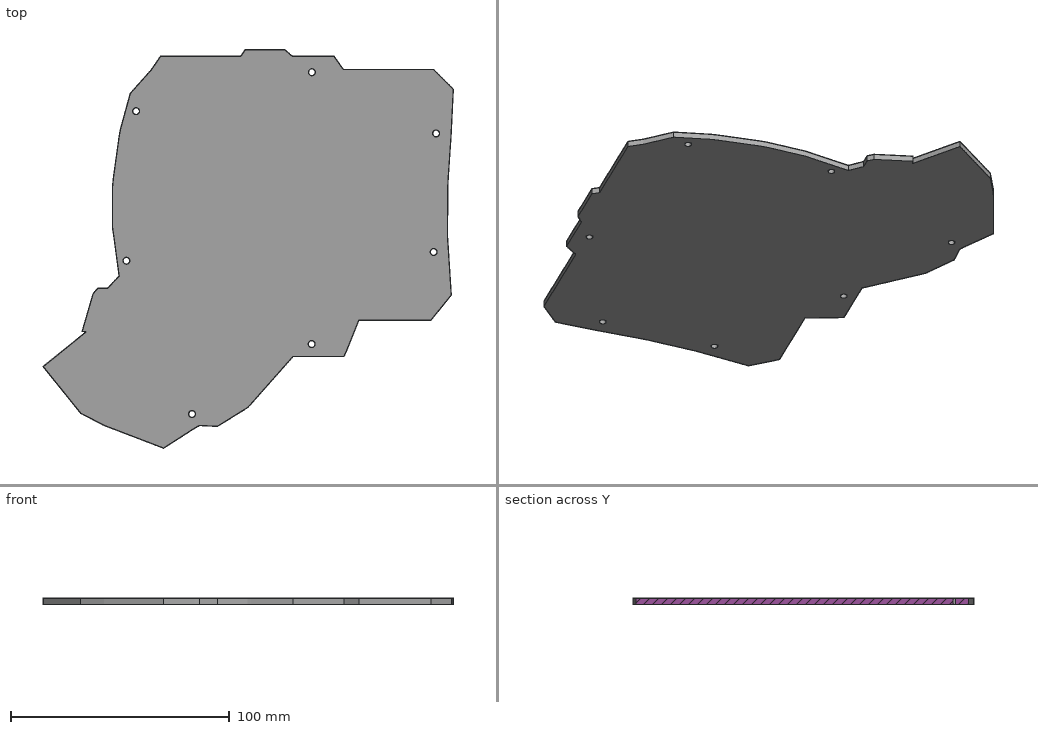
import cadquery as cq

LENGTH_X = 187.66
LENGTH_Y = 182.31
THICKNESS = 3.0
SCREW_HOLE_DIAMETER = 3.0

RIGHT_X = LENGTH_X / 2
LEFT_X = -RIGHT_X
BACK_Y = LENGTH_Y / 2
FRONT_Y = -BACK_Y

BACK_SHOULDER_Y = 88.2
BACK_CORNER_Y = 82.1
FRONT_CORNER_Y = -32.7
FRONT_STEP_Y = -49.2
LEFT_LEDGE_Y = -17.9

BACK_EDGE = [
    (-40.1, BACK_SHOULDER_Y),
    (-3.4, BACK_SHOULDER_Y),
    (-1.4, BACK_Y),
    (16.7, BACK_Y),
    (20.1, BACK_SHOULDER_Y),
    (39.2, BACK_SHOULDER_Y),
    (43.5, BACK_CORNER_Y),
    (84.7, BACK_CORNER_Y),
]

RIGHT_EDGE = [
    (RIGHT_X, 73.0),
    (92.8, 51.7),
    (91.5, 32.5),
    (91.3, 28.5),
    (91.2, 9.3),
    (91.2, 5.4),
    (92.9, -21.1),
]

FRONT_EDGE = [
    (83.5, FRONT_CORNER_Y),
    (50.6, FRONT_CORNER_Y),
    (45.0, -46.6),
    (43.8, FRONT_STEP_Y),
    (20.5, FRONT_STEP_Y),
    (1.4, -70.8),
    (-0.3, -72.6),
    (-14.1, -81.2),
    (-22.3, -80.8),
    (-24.5, -82.0),
    (-38.7, FRONT_Y),
    (-65.8, -80.8),
    (-76.6, -75.2),
]

LEFT_EDGE = [
    (LEFT_X, -53.8),
    (-74.3, -38.0),
    (-76.0, -37.7),
    (-71.0, -20.5),
    (-68.8, LEFT_LEDGE_Y),
    (-64.3, LEFT_LEDGE_Y),
    (-59.1, -12.4),
    (-61.5, 5.5),
    (-62.1, 9.5),
    (-62.1, 28.7),
    (-61.7, 32.7),
    (-59.1, 51.4),
    (-58.5, 54.7),
    (-54.0, 71.1),
    (-44.3, 82.0),
]

SCREW_HOLE_CENTRES = [
    (29.1, 80.8),
    (85.9, 52.8),
    (84.8, -1.4),
    (29.0, -43.5),
    (-25.7, -75.5),
    (-55.7, -5.4),
    (-51.3, 63.0),
]


def plate():
    """Outline extruded to the plate thickness."""
    outline = BACK_EDGE + RIGHT_EDGE + FRONT_EDGE + LEFT_EDGE
    return cq.Workplane("XY").polyline(outline).close().extrude(THICKNESS)


def drill_screw_holes(body):
    """Plain holes through the full thickness."""
    drills = (
        cq.Workplane("XY")
        .pushPoints(SCREW_HOLE_CENTRES)
        .circle(SCREW_HOLE_DIAMETER / 2)
        .extrude(THICKNESS)
    )
    return body.cut(drills)


result = drill_screw_holes(plate())